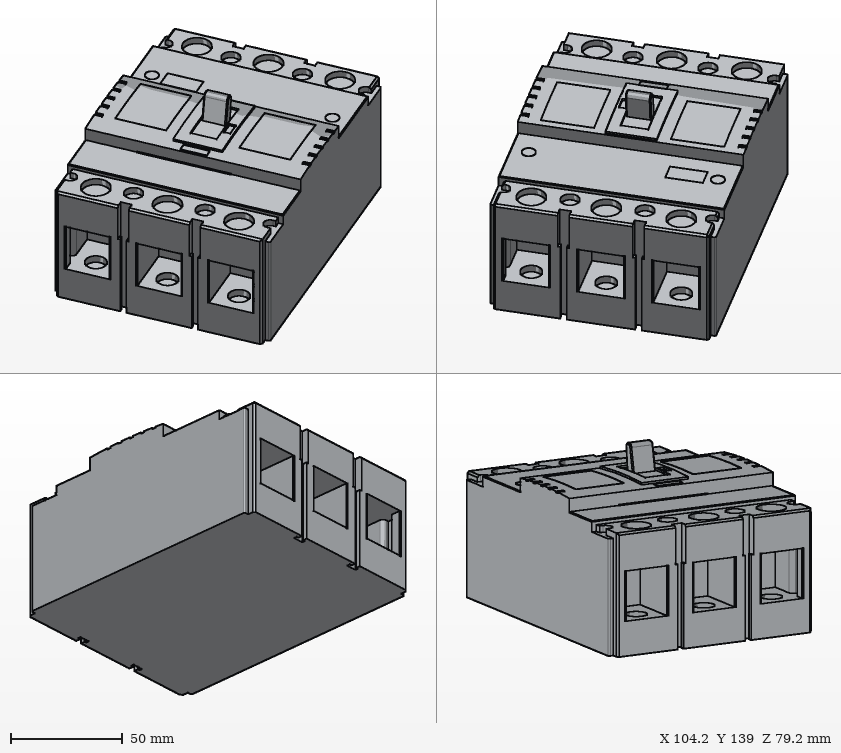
import cadquery as cq

WIDTH = 104.2
LENGTH = 139.0
TOTAL_HEIGHT = 79.2
ENDS = (-1, 1)
SIDES = (-1, 1)

PANEL_LENGTH = 131.2
PANEL_HEIGHT = 54.0
PANEL_CORNER = 0.8
CORE_WIDTH = 99.5
CORE_HEIGHT = 57.0
CORE_EDGE = 1.0
DECK_LENGTH = 100.4
DECK_HEIGHT = 59.0
DECK_EDGE = 0.4

COVER_BACK = 15.4
COVER_FRONT = -29.6
COVER_MIDDLE = (COVER_BACK + COVER_FRONT) / 2
COVER_EDGE_HEIGHT = 65.0
COVER_CROWN = 66.0
CUT_MARGIN = 2.8

POLE_PITCH = 34.6
POLES = (-POLE_PITCH, 0, POLE_PITCH)
BARRIERS = (-POLE_PITCH / 2, POLE_PITCH / 2)
SCREW_HOLE_DIAMETER = 13.5
SCREW_HOLE_Y = 59.5
VENT_HOLE_DIAMETER = 8.8
VENT_HOLE_Y = 57.3
TOP_HOLE_DEPTH = 3.2
WINDOW_WIDTH = 22.2
WINDOW_INSET = 0.7
WINDOW_LIP = 0.5
WINDOW_BOTTOM = 16.1
WINDOW_TOP = 39.2
WINDOW_DEPTH = 25.0
FLOOR_HOLE_DIAMETER = 10.0
FLOOR_HOLE_DEPTH = 3.5
WALL_RECESS_START = 5.0
WALL_RECESS_LENGTH = 5.4
WALL_RECESS_DEPTH = 3.5
WALL_RECESS_CORNER = 2.1

BARRIER_SLOT_WIDTH = 5.3
BARRIER_SLOT_DEPTH = 3.8
BARRIER_MOUTH_WIDTH = 3.0
BARRIER_MOUTH_DEPTH = 2.2
BARRIER_LEDGE = 39.2

NOTCH_RADIUS = 3.0
NOTCH_X = 48.2
NOTCH_Y = 56.2

INLAY_DEPTH = 0.1
LABEL_WIDTH = 24.6
LABEL_LENGTH = 29.9
LABEL_X = 30.0
LABEL_Y = -3.0
GRIP_COUNT = 5
GRIP_PITCH = 7.0
GRIP_MIDDLE_Y = -4.2
GRIP_LENGTH = 3.6
GRIP_WIDTH = 1.8
GRIP_DEPTH = 0.5
PLATE_WIDTH = 23.8
PLATE_BACK = 14.5
PLATE_FRONT = -23.9
PLATE_THICKNESS = 1.0
SLOT_WIDTH = 12.8
SLOT_BACK = 8.8
SLOT_FRONT = -17.1
BUTTON_WIDTH = 3.3
BUTTON_LENGTH = 7.0
BUTTON_X = 8.8
BUTTON_Y = -7.5
TAG_LENGTH = 3.6
TAG_Y = -26.8
TAG_THICKNESS = 0.3

SEAL_DIAMETER = 6.4
SEAL_X = 43.6
SEAL_Y = 28.5
DECK_WINDOW_WIDTH = 17.4
DECK_WINDOW_LENGTH = 8.8
DECK_WINDOW_X = -29.0
DECK_WINDOW_Y = 28.2
STRIP_WIDTH = 45.5
STRIP_X = -4.2
STRIP_THICKNESS = 0.4

TOGGLE_WIDTH = 11.7
TOGGLE_EDGE = 0.5
TOGGLE_TIP_RADIUS = 2.0
TOGGLE_FOOT_FRONT = -5.3
TOGGLE_FOOT_BACK = 0.5
TOGGLE_TIP_FRONT = -2.4
TOGGLE_TIP_BACK = 2.1


def block(x_size, y_size, bottom, top, x=0.0, y=0.0):
    """Upright box centred on (x, y) between two heights."""
    return cq.Workplane("XY").rect(x_size, y_size).extrude(top - bottom).translate((x, y, bottom))


def pin(diameter, bottom, top, x, y):
    """Upright cylinder between two heights."""
    return cq.Workplane("XY").circle(diameter / 2).extrude(top - bottom).translate((x, y, bottom))


def arched_strip(width, front, back, bottom, rise=0.0, x=0.0):
    """Strip from front to back whose upper face lies a given rise above the cover arch."""
    arch = (
        cq.Workplane("YZ")
        .moveTo(COVER_FRONT, bottom)
        .lineTo(COVER_FRONT, COVER_EDGE_HEIGHT + rise)
        .threePointArc((COVER_MIDDLE, COVER_CROWN + rise), (COVER_BACK, COVER_EDGE_HEIGHT + rise))
        .lineTo(COVER_BACK, bottom)
        .close()
        .extrude(width / 2, both=True)
        .translate((x, 0, 0))
    )
    limits = block(width, back - front, bottom, COVER_CROWN + rise, x, (front + back) / 2)
    return arch.intersect(limits)


def arch_recess(width, length, depth, x, y):
    """Cutter that sinks a rectangle to a uniform depth below the cover arch."""
    around = block(width, length, DECK_HEIGHT, COVER_CROWN + CUT_MARGIN, x, y)
    kept = arched_strip(width, y - length / 2, y + length / 2, DECK_HEIGHT, -depth, x)
    return around.cut(kept)


def housing():
    panels = block(WIDTH, PANEL_LENGTH, 0, PANEL_HEIGHT).edges("|Z").fillet(PANEL_CORNER)
    front_core = block(CORE_WIDTH, LENGTH / 2, 0, CORE_HEIGHT, 0, -LENGTH / 4)
    front_core = front_core.faces("<Y").edges("not <Z").chamfer(CORE_EDGE)
    back_core = block(CORE_WIDTH, LENGTH / 2, 0, CORE_HEIGHT, 0, LENGTH / 4)
    back_edges = back_core.faces(">Y").edges("not <Z").add(back_core.edges("|Y and >Z"))
    back_core = back_edges.chamfer(CORE_EDGE)
    deck = block(WIDTH, DECK_LENGTH, 0, DECK_HEIGHT).faces(">Z").edges().chamfer(DECK_EDGE)
    cover = arched_strip(WIDTH, COVER_FRONT, COVER_BACK, 0)
    return panels.union(front_core).union(back_core).union(deck).union(cover)


def terminal_pocket(pole_x, end):
    """Window in a terminal end, with its floor hole and, next to a side panel, a wall recess."""
    end_y = end * LENGTH / 2
    lip = block(WINDOW_WIDTH, 2 * WINDOW_LIP, WINDOW_BOTTOM, WINDOW_TOP, pole_x, end_y)
    inner_width = WINDOW_WIDTH - 2 * WINDOW_INSET
    inner = block(inner_width, 2 * WINDOW_DEPTH, WINDOW_BOTTOM, WINDOW_TOP, pole_x, end_y)
    floor_hole = pin(
        FLOOR_HOLE_DIAMETER, WINDOW_BOTTOM - FLOOR_HOLE_DEPTH, WINDOW_TOP, pole_x, end * SCREW_HOLE_Y
    )
    pocket = lip.union(inner).union(floor_hole)
    if pole_x != 0:
        side = 1 if pole_x > 0 else -1
        wall_x = pole_x + side * inner_width / 2
        recess_y = end_y - end * (WALL_RECESS_START + WALL_RECESS_LENGTH / 2)
        recess = block(
            2 * WALL_RECESS_DEPTH, WALL_RECESS_LENGTH, WINDOW_BOTTOM, WINDOW_TOP, wall_x, recess_y
        )
        pocket = pocket.union(recess)
        inner_end_y = recess_y - end * WALL_RECESS_LENGTH / 2
        corner = cq.selectors.NearestToPointSelector((wall_x, inner_end_y, (WINDOW_BOTTOM + WINDOW_TOP) / 2))
        pocket = pocket.edges("|Z").edges(corner).fillet(WALL_RECESS_CORNER)
    return pocket


def barrier_slot(x, end):
    """Slot open to the top: wide inside, with a mouth that narrows below the ledge."""
    end_y = end * LENGTH / 2
    top = CORE_HEIGHT + CUT_MARGIN
    mouth = block(BARRIER_MOUTH_WIDTH, 2 * BARRIER_SLOT_DEPTH, 0, top, x, end_y)
    upper = block(BARRIER_SLOT_WIDTH, 2 * BARRIER_SLOT_DEPTH, BARRIER_LEDGE, top, x, end_y)
    inner_length = BARRIER_SLOT_DEPTH - BARRIER_MOUTH_DEPTH
    inner_y = end_y - end * (BARRIER_MOUTH_DEPTH + inner_length / 2)
    inner = block(BARRIER_SLOT_WIDTH, inner_length, 0, top, x, inner_y)
    return mouth.union(upper).union(inner)


def mounting_notch(side, end):
    """Round-ended notch in the side edge of the terminal deck, down to the panel shelf."""
    top = CORE_HEIGHT + CUT_MARGIN
    x = side * NOTCH_X
    y = end * NOTCH_Y
    opening = block(2 * NOTCH_RADIUS, 2 * NOTCH_RADIUS, PANEL_HEIGHT, top, x + side * NOTCH_RADIUS, y)
    return pin(2 * NOTCH_RADIUS, PANEL_HEIGHT, top, x, y).union(opening)


def cut_terminals(body):
    hole_floor = CORE_HEIGHT - TOP_HOLE_DEPTH
    for end in ENDS:
        for x in POLES:
            body = body.cut(pin(SCREW_HOLE_DIAMETER, hole_floor, CORE_HEIGHT, x, end * SCREW_HOLE_Y))
            body = body.cut(terminal_pocket(x, end))
        for x in BARRIERS:
            body = body.cut(pin(VENT_HOLE_DIAMETER, hole_floor, CORE_HEIGHT, x, end * VENT_HOLE_Y))
            body = body.cut(barrier_slot(x, end))
        for side in SIDES:
            body = body.cut(mounting_notch(side, end))
    return body


def cut_deck(body):
    """Shallow inlays on the deck behind the cover."""
    floor = DECK_HEIGHT - INLAY_DEPTH
    for side in SIDES:
        body = body.cut(pin(SEAL_DIAMETER, floor, DECK_HEIGHT, side * SEAL_X, SEAL_Y))
    return body.cut(
        block(DECK_WINDOW_WIDTH, DECK_WINDOW_LENGTH, floor, DECK_HEIGHT, DECK_WINDOW_X, DECK_WINDOW_Y)
    )


def cut_cover(body):
    """Label inlays and the rows of grip grooves along both sides of the cover."""
    grip_x = (WIDTH - GRIP_LENGTH) / 2
    for side in SIDES:
        body = body.cut(arch_recess(LABEL_WIDTH, LABEL_LENGTH, INLAY_DEPTH, side * LABEL_X, LABEL_Y))
        for index in range(GRIP_COUNT):
            y = GRIP_MIDDLE_Y + (index - (GRIP_COUNT - 1) / 2) * GRIP_PITCH
            body = body.cut(arch_recess(GRIP_LENGTH, GRIP_WIDTH, GRIP_DEPTH, side * grip_x, y))
    return body


def toggle_plate():
    """Raised plate around the toggle, with the toggle slot and a button recess."""
    plate = arched_strip(PLATE_WIDTH, PLATE_FRONT, PLATE_BACK, DECK_HEIGHT, PLATE_THICKNESS)
    slot_middle = (SLOT_BACK + SLOT_FRONT) / 2
    slot = arch_recess(SLOT_WIDTH, SLOT_BACK - SLOT_FRONT, 0, 0, slot_middle)
    button = arch_recess(BUTTON_WIDTH, BUTTON_LENGTH, 0, BUTTON_X, BUTTON_Y)
    return plate.cut(slot).cut(button)


def toggle():
    """Tapered lever leaning back, with a round tip."""
    lever = (
        cq.Workplane("YZ")
        .moveTo(TOGGLE_FOOT_FRONT, COVER_EDGE_HEIGHT)
        .lineTo(TOGGLE_TIP_FRONT, TOTAL_HEIGHT)
        .lineTo(TOGGLE_TIP_BACK, TOTAL_HEIGHT)
        .lineTo(TOGGLE_FOOT_BACK, COVER_EDGE_HEIGHT)
        .close()
        .extrude(TOGGLE_WIDTH / 2, both=True)
    )
    lever = lever.faces(">Z").edges("|X").fillet(TOGGLE_TIP_RADIUS)
    return lever.faces("<X or >X").edges("not <Z").chamfer(TOGGLE_EDGE)


def cover_labels():
    """Thin tag in front of the plate and a thin strip at the foot of the cover."""
    tag = arched_strip(SLOT_WIDTH, TAG_Y - TAG_LENGTH / 2, TAG_Y + TAG_LENGTH / 2, DECK_HEIGHT, TAG_THICKNESS)
    strip = block(
        STRIP_WIDTH,
        2 * STRIP_THICKNESS,
        DECK_HEIGHT - STRIP_THICKNESS,
        DECK_HEIGHT + STRIP_THICKNESS,
        STRIP_X,
        COVER_FRONT,
    )
    return tag.union(strip)


breaker = cut_cover(cut_deck(cut_terminals(housing())))
result = breaker.union(toggle_plate()).union(cover_labels()).union(toggle())